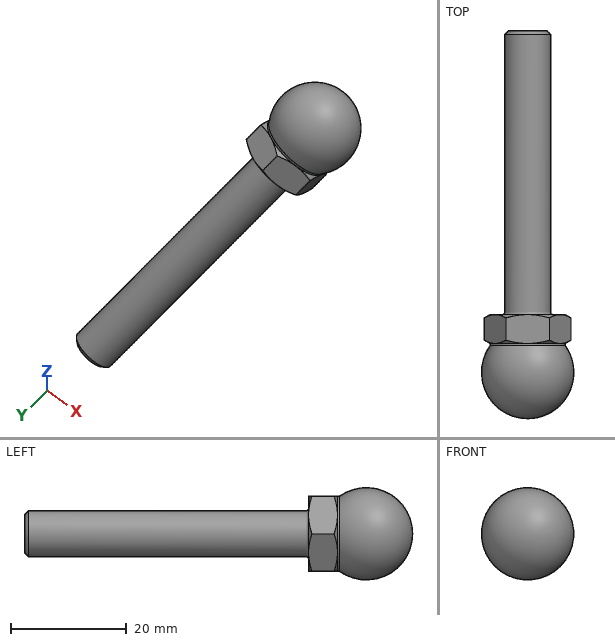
import cadquery as cq
import math

ball_diameter = 16.0
overall_length = 67.0
hex_sides = 6
hex_across_flats = 13.0
hex_thickness = 5.0
hex_start_from_tip = 13.0
hex_chamfer_angle = 30.0
neck_diameter = 13.0
shank_diameter = 8.0
shank_end_chamfer = 0.65
shank_root_fillet = 0.4

ball_radius = ball_diameter / 2
neck_radius = neck_diameter / 2
shank_radius = shank_diameter / 2
hex_flat_radius = hex_across_flats / 2
hex_corner_radius = hex_flat_radius / math.cos(math.pi / hex_sides)

ball_tip_y = -ball_radius
ball_end_y = math.sqrt(ball_radius**2 - neck_radius**2)
hex_start_y = ball_tip_y + hex_start_from_tip
hex_end_y = hex_start_y + hex_thickness
shank_end_y = ball_tip_y + overall_length


def revolve_about_y(profile):
    """Turn a closed XY half profile into a full solid around the Y axis."""
    return profile.close().revolve(360, (0, 0, 0), (0, 1, 0))


def make_ball():
    """Ball cut off by a short cylindrical neck that meets the hexagon."""
    profile = (
        cq.Workplane("XY")
        .moveTo(0, ball_tip_y)
        .threePointArc((ball_radius, 0), (neck_radius, ball_end_y))
        .lineTo(neck_radius, hex_start_y)
        .lineTo(0, hex_start_y)
    )
    return revolve_about_y(profile)


def make_hexagon():
    """Hexagon with corners on +/-X, both ends turned down by a cone."""
    prism = (
        cq.Workplane("XZ", origin=(0, hex_start_y, 0))
        .polygon(hex_sides, 2 * hex_corner_radius)
        .extrude(-hex_thickness)
    )
    chamfer_depth = (hex_corner_radius - hex_flat_radius) * math.tan(math.radians(hex_chamfer_angle))
    envelope = (
        cq.Workplane("XY")
        .moveTo(0, hex_start_y)
        .lineTo(hex_flat_radius, hex_start_y)
        .lineTo(hex_corner_radius, hex_start_y + chamfer_depth)
        .lineTo(hex_corner_radius, hex_end_y - chamfer_depth)
        .lineTo(hex_flat_radius, hex_end_y)
        .lineTo(0, hex_end_y)
    )
    return prism.intersect(revolve_about_y(envelope))


def make_shank():
    """Plain round shank with a root fillet at the hexagon and a chamfered end."""
    fillet_mid_offset = shank_root_fillet * (1 - math.cos(math.pi / 4))
    profile = (
        cq.Workplane("XY")
        .moveTo(0, hex_end_y)
        .lineTo(shank_radius + shank_root_fillet, hex_end_y)
        .threePointArc(
            (shank_radius + fillet_mid_offset, hex_end_y + fillet_mid_offset),
            (shank_radius, hex_end_y + shank_root_fillet),
        )
        .lineTo(shank_radius, shank_end_y - shank_end_chamfer)
        .lineTo(shank_radius - shank_end_chamfer, shank_end_y)
        .lineTo(0, shank_end_y)
    )
    return revolve_about_y(profile)


result = make_ball().union(make_hexagon()).union(make_shank())